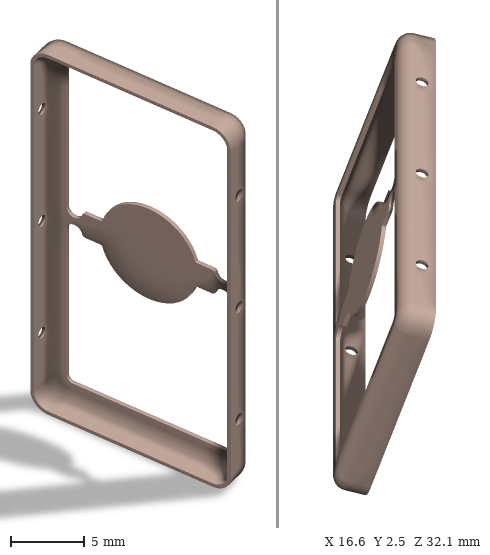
import cadquery as cq
import math

width = 16.6
depth = 2.5
height = 32.1
wall = 0.3
corner_radius = 1.5
back_edge_radius = 1.0

opening_margin = 1.5
opening_corner_radius = 0.48

disc_radius = 4.0
arm_half_height = 1.05
notch_radius = 0.65
neck_half_height = 0.32
arm_end_radius = 0.3
arm_root_radius = 0.2

hole_diameter = 0.9
hole_spacing = 9.98
hole_from_rim = 1.0

rim_y = -depth / 2
back_y = depth / 2
floor_y = back_y - wall
opening_half_width = width / 2 - opening_margin


def rounded_tray(inset, front_y, rear_y):
    """Block with rounded corners and a rounded rear edge, inset from the outer shape."""
    block = (
        cq.Workplane("XZ", origin=(0, rear_y, 0))
        .rect(width - 2 * inset, height - 2 * inset)
        .extrude(rear_y - front_y)
        .edges("|Y")
        .fillet(corner_radius - inset)
    )
    return block.faces(">Y").edges().fillet(back_edge_radius - inset)


def floor_opening():
    """Rounded rectangle cutter that passes through the floor."""
    return (
        cq.Workplane("XZ", origin=(0, back_y, 0))
        .rect(2 * opening_half_width, height - 2 * opening_margin)
        .extrude(depth)
        .edges("|Y")
        .fillet(opening_corner_radius)
    )


def disc_with_arms():
    """Disc joined to both long sides by arms with round notches at their outer ends."""
    notch_x = opening_half_width - notch_radius
    notch_z = neck_half_height + notch_radius
    arm_end_x = notch_x - math.sqrt(notch_radius**2 - (arm_half_height - notch_z) ** 2)
    arm_root_x = math.sqrt(disc_radius**2 - arm_half_height**2)
    anchor_x = width / 2 - back_edge_radius

    plate = (
        cq.Workplane("XZ", origin=(0, back_y, 0))
        .moveTo(-anchor_x, notch_z)
        .lineTo(-opening_half_width, notch_z)
        .threePointArc((-notch_x, neck_half_height), (-arm_end_x, arm_half_height))
        .lineTo(-arm_root_x, arm_half_height)
        .threePointArc((0, disc_radius), (arm_root_x, arm_half_height))
        .lineTo(arm_end_x, arm_half_height)
        .threePointArc((notch_x, neck_half_height), (opening_half_width, notch_z))
        .lineTo(anchor_x, notch_z)
        .lineTo(anchor_x, -notch_z)
        .lineTo(opening_half_width, -notch_z)
        .threePointArc((notch_x, -neck_half_height), (arm_end_x, -arm_half_height))
        .lineTo(arm_root_x, -arm_half_height)
        .threePointArc((0, -disc_radius), (-arm_root_x, -arm_half_height))
        .lineTo(-arm_end_x, -arm_half_height)
        .threePointArc((-notch_x, -neck_half_height), (-opening_half_width, -notch_z))
        .lineTo(-anchor_x, -notch_z)
        .close()
        .extrude(wall)
    )
    for side in (-1, 1):
        for end in (-1, 1):
            for corner_x, radius in ((arm_end_x, arm_end_radius), (arm_root_x, arm_root_radius)):
                corner = (side * corner_x, floor_y + wall / 2, end * arm_half_height)
                plate = plate.edges(cq.selectors.NearestToPointSelector(corner)).fillet(radius)
    return plate


def pin_holes():
    """Row of three round cutters running along X."""
    return (
        cq.Workplane("YZ", origin=(-width / 2, rim_y + hole_from_rim, 0))
        .rarray(0.32, hole_spacing, 1, 3)
        .circle(hole_diameter / 2)
        .extrude(width)
    )


frame = rounded_tray(0, rim_y, back_y).cut(rounded_tray(wall, rim_y, floor_y))
frame = frame.cut(floor_opening()).cut(pin_holes())
result = frame.union(disc_with_arms())